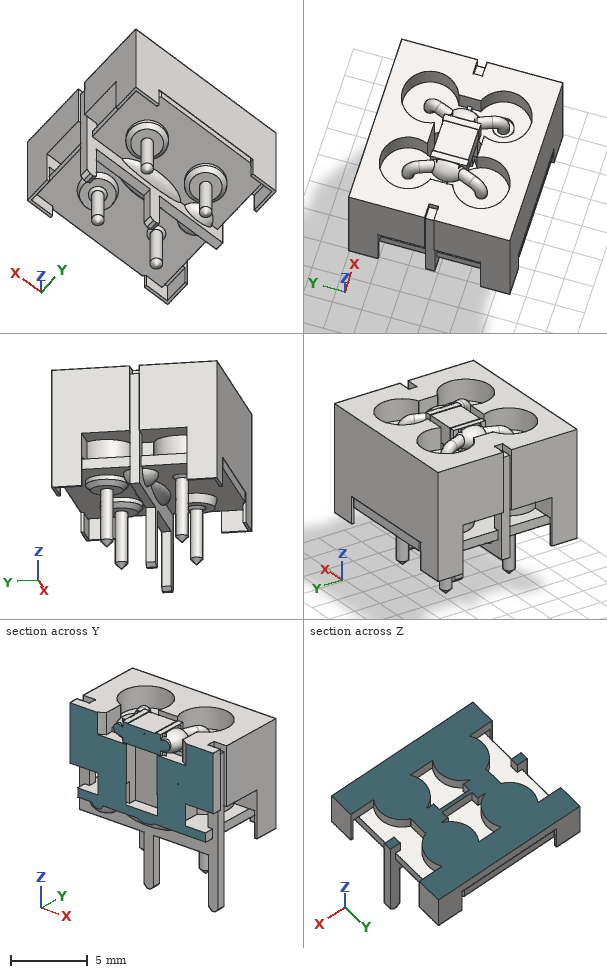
import cadquery as cq
import math

HOUSING_X, HOUSING_Y, HOUSING_Z = 12.0, 11.0, 8.0
SKIRT_WALL = 0.2
POCKET_TOP = 2.0

WINDOW_X = 8.0
WINDOW_Y = 7.0
TALL_WINDOW_TOP = 3.57

PIN_PITCH = 5.0
PIN_RADIUS = 0.415
PIN_TIP_Z = -3.2
WELL_RADIUS = 1.875
WELL_FLOOR = 6.4
NECK_X, NECK_Y = 6.4, 1.5
BAY_X, BAY_Y = 2.5, 3.4

PLATE_X, PLATE_THICKNESS = 10.7, 0.7
TAB_TIP_X = 7.6
TAB_RECESS = 0.02

BLADE_THICKNESS = 0.64
BLADE_X = 11.6
BLADE_LEG_WIDTH = 0.85
BLADE_TOP = 7.5
BLADE_PRONGS = ((0.0, 0.8), (5.4, 0.8))
PRONG_TIP_Z, PRONG_CHAMFER = -4.0, 0.27

CHIP_X, CHIP_Y = 3.2, 2.5
CHIP_CAP = 0.45
CAP_STEP = 0.05
CHIP_GAP = 0.05
SEPTUM_THICKNESS, SEPTUM_RISE = 0.3, 0.3

WIRE_RADIUS = 0.4
WIRE_AXIS_Z = 7.3
WIRE_BEND = 0.72
WIRE_RUN_X, WIRE_RUN_Y = 1.7, 0.4
RECESS_RADIUS, RECESS_DEPTH = 0.7, 0.2

FLANGE_RADIUS, FLANGE_RIM, FLANGE_TAPER = 1.4, 0.3, 0.33
BEAD_TOP_RADIUS, BEAD_RADIUS, BEAD_DROP = 1.35, 1.2, 0.6
COLLAR_RADIUS, COLLAR_HEIGHT = 0.62, 0.18
MIDDLE_LUMP_X, MIDDLE_LUMP_RADII = 0.3, (2.6, 1.1, 0.65)
END_LUMP_X, END_LUMP_RADII = -3.7, (1.2, 1.15, 0.88)
CHIP_SOLDER_RADII, CHIP_SOLDER_Z = (1.07, 1.25, 0.75), 7.2

PIN_OFFSET = PIN_PITCH / 2
PLATE_BOTTOM = POCKET_TOP - PLATE_THICKNESS
POCKET_X = HOUSING_X - 2 * SKIRT_WALL
POCKET_Y = HOUSING_Y - 2 * SKIRT_WALL
PIN_POINTS = [(sx * PIN_OFFSET, sy * PIN_OFFSET) for sx in (-1, 1) for sy in (-1, 1)]


def block(x_range, y_range, z_range):
    """Axis-aligned box given by its limits."""
    sizes = [limits[1] - limits[0] for limits in (x_range, y_range, z_range)]
    corner = (x_range[0], y_range[0], z_range[0])
    return cq.Workplane("XY").box(*sizes, centered=False).translate(corner)


def centred_block(size_x, size_y, z_low, z_high):
    """Box centred on the Z axis between two heights."""
    return block((-size_x / 2, size_x / 2), (-size_y / 2, size_y / 2), (z_low, z_high))


def turned(profile, x, y):
    """Solid of revolution about a vertical axis, from (radius, z) points."""
    return cq.Workplane("XZ").polyline(profile).close().revolve(360, (0, 0), (0, 1)).translate((x, y, 0))


def ellipsoid(radii, centre):
    """Ellipsoid with its axes along X, Y and Z."""
    rows = [[radii[i] if i == j else 0.0 for j in range(3)] + [centre[i]] for i in range(3)]
    unit_ball = cq.Workplane("XY").sphere(1.0).val()
    return cq.Workplane(unit_ball.transformGeometry(cq.Matrix(rows)))


def round_wells(z_low, z_high):
    """The four round wells alone."""
    wells = cq.Workplane("XY").workplane(offset=z_low).pushPoints(PIN_POINTS)
    return wells.circle(WELL_RADIUS).extrude(z_high - z_low)


def well_cluster(z_low, z_high):
    """Solid in the shape of four round wells joined by the end necks and the centre bay."""
    cluster = centred_block(NECK_X, NECK_Y, z_low, z_high)
    cluster = cluster.union(centred_block(BAY_X, BAY_Y, z_low, z_high))
    return cluster.union(round_wells(z_low, z_high))


def make_housing():
    housing = centred_block(HOUSING_X, HOUSING_Y, 0, HOUSING_Z)
    housing = housing.cut(centred_block(POCKET_X, POCKET_Y, 0, POCKET_TOP))
    housing = housing.cut(centred_block(WINDOW_X, HOUSING_Y, 0, POCKET_TOP))
    housing = housing.cut(centred_block(HOUSING_X, WINDOW_Y, 0, TALL_WINDOW_TOP))
    housing = housing.union(well_cluster(POCKET_TOP, TALL_WINDOW_TOP))
    housing = housing.cut(well_cluster(WELL_FLOOR, HOUSING_Z))
    open_bay = centred_block(BAY_X, BAY_Y, POCKET_TOP, WELL_FLOOR)
    housing = housing.cut(open_bay.cut(round_wells(POCKET_TOP, WELL_FLOOR)))
    slot_end = BLADE_X / 2 - BLADE_LEG_WIDTH
    half = BLADE_THICKNESS / 2
    for x_range in ((-HOUSING_X / 2, -slot_end), (slot_end, HOUSING_X / 2)):
        housing = housing.cut(block(x_range, (-half, half), (0, HOUSING_Z)))
    recess = cq.Workplane("XY").workplane(offset=WELL_FLOOR).center(PIN_OFFSET, -PIN_OFFSET)
    return housing.cut(recess.circle(RECESS_RADIUS).extrude(-RECESS_DEPTH))


def make_plate():
    """Base plate with a tapered tab filling the front and back windows."""
    body = centred_block(PLATE_X, POCKET_Y, PLATE_BOTTOM, POCKET_TOP)
    tab_root, tab_tip, tip_y = WINDOW_X / 2, TAB_TIP_X / 2, HOUSING_Y / 2 - TAB_RECESS
    root_y = POCKET_Y / 2
    outline = [
        (-tab_root, -root_y), (-tab_tip, -tip_y), (tab_tip, -tip_y), (tab_root, -root_y),
        (tab_root, root_y), (tab_tip, tip_y), (-tab_tip, tip_y), (-tab_root, root_y),
    ]
    tabs = cq.Workplane("XY").workplane(offset=PLATE_BOTTOM).polyline(outline).close()
    return body.union(tabs.extrude(PLATE_THICKNESS))


def make_blade():
    """Flat shield: crossbar, two upright legs and pointed prongs."""
    half = BLADE_THICKNESS / 2
    blade = centred_block(BLADE_X, BLADE_THICKNESS, 0, PLATE_BOTTOM)
    outer, inner = BLADE_X / 2, BLADE_X / 2 - BLADE_LEG_WIDTH
    for x_range in ((-outer, -inner), (inner, outer)):
        blade = blade.union(block(x_range, (-half, half), (0, BLADE_TOP)))
    for centre, width in BLADE_PRONGS:
        prong = block((centre - width / 2, centre + width / 2), (-half, half), (PRONG_TIP_Z, PLATE_BOTTOM))
        blade = blade.union(prong.faces("<Z").edges("|Y").chamfer(PRONG_CHAMFER))
    return blade


def make_pin(x, y):
    """Round pin with a conical point, rooted in the base plate."""
    shoulder = PIN_TIP_Z + PIN_RADIUS
    return turned([(0, PIN_TIP_Z), (PIN_RADIUS, shoulder), (PIN_RADIUS, POCKET_TOP), (0, POCKET_TOP)], x, y)


def make_collar(x, y, top):
    """Small solder cone around a pin."""
    bottom = top - COLLAR_HEIGHT
    return turned([(0, bottom), (PIN_RADIUS, bottom), (COLLAR_RADIUS, top), (0, top)], x, y)


def make_flange(x, y):
    """Solder pad under the plate: a disc with a 45 degree lower edge."""
    rim_z = PLATE_BOTTOM - FLANGE_RIM
    bottom = rim_z - FLANGE_TAPER
    foot_radius = FLANGE_RADIUS - FLANGE_TAPER
    profile = [
        (0, bottom), (foot_radius, bottom), (FLANGE_RADIUS, rim_z),
        (FLANGE_RADIUS, PLATE_BOTTOM), (0, PLATE_BOTTOM),
    ]
    return turned(profile, x, y)


def make_bead(x, y):
    """Tapered solder bead under the plate."""
    bottom = PLATE_BOTTOM - BEAD_DROP
    return turned([(0, bottom), (BEAD_RADIUS, bottom), (BEAD_TOP_RADIUS, PLATE_BOTTOM), (0, PLATE_BOTTOM)], x, y)


def make_wire(sign_x, sign_y):
    """Wire rising from a well floor and bending over towards the chip."""
    start_x, start_y = sign_x * PIN_OFFSET, sign_y * PIN_OFFSET
    run_x, run_y = sign_x * WIRE_RUN_X - start_x, sign_y * WIRE_RUN_Y - start_y
    run = math.hypot(run_x, run_y)
    root_z = WELL_FLOOR - 2 * RECESS_DEPTH
    plane = cq.Plane(origin=(start_x, start_y, 0), xDir=(run_x, run_y, 0), normal=(run_y, -run_x, 0))
    bend_z = WIRE_AXIS_Z - WIRE_BEND
    middle = WIRE_BEND * math.sqrt(0.5)
    path = (
        cq.Workplane(plane)
        .moveTo(0, root_z)
        .lineTo(0, bend_z)
        .threePointArc((WIRE_BEND - middle, bend_z + middle), (WIRE_BEND, WIRE_AXIS_Z))
        .lineTo(run, WIRE_AXIS_Z)
    )
    section = cq.Workplane("XY").workplane(offset=root_z).center(start_x, start_y).circle(WIRE_RADIUS)
    return section.sweep(path)


def make_chip():
    """Chip with two proud end caps."""
    bottom = WELL_FLOOR + CHIP_GAP
    chip = centred_block(CHIP_X, CHIP_Y - 2 * CAP_STEP, bottom, HOUSING_Z - CAP_STEP)
    outer, inner = CHIP_X / 2, CHIP_X / 2 - CHIP_CAP
    for x_range in ((-outer, -inner), (inner, outer)):
        chip = chip.union(block(x_range, (-CHIP_Y / 2, CHIP_Y / 2), (bottom, HOUSING_Z)))
    return chip


def make_septum():
    """Thin upright wall that rises from the base plate through the bay and carries the chip."""
    return centred_block(NECK_X, SEPTUM_THICKNESS, POCKET_TOP, WELL_FLOOR + SEPTUM_RISE)


def make_chip_solder(sign_x):
    """Solder fillet on one end of the chip, where two wires meet."""
    return ellipsoid(CHIP_SOLDER_RADII, (sign_x * CHIP_X / 2, 0, CHIP_SOLDER_Z)).cut(
        centred_block(CHIP_X, HOUSING_Y, WELL_FLOOR, HOUSING_Z)
    )


def make_underside_lumps():
    """Rounded solder lumps hanging from the plate around the blade."""
    lumps = ellipsoid(MIDDLE_LUMP_RADII, (MIDDLE_LUMP_X, 0, PLATE_BOTTOM))
    lumps = lumps.union(ellipsoid(END_LUMP_RADII, (END_LUMP_X, 0, PLATE_BOTTOM)))
    return lumps.cut(centred_block(HOUSING_X, HOUSING_Y, PLATE_BOTTOM, HOUSING_Z))


def assemble():
    part = make_housing().union(make_plate()).union(make_blade())
    for x, y in PIN_POINTS:
        part = part.union(make_pin(x, y))
    for x in (-PIN_OFFSET, PIN_OFFSET):
        part = part.union(make_flange(x, PIN_OFFSET))
    part = part.union(make_collar(-PIN_OFFSET, -PIN_OFFSET, PLATE_BOTTOM))
    part = part.union(make_bead(PIN_OFFSET, -PIN_OFFSET))
    part = part.union(make_collar(PIN_OFFSET, -PIN_OFFSET, PLATE_BOTTOM - BEAD_DROP))
    part = part.union(make_underside_lumps())
    part = part.union(make_septum()).union(make_chip())
    for sign_x in (-1, 1):
        part = part.union(make_chip_solder(sign_x))
        for sign_y in (-1, 1):
            part = part.union(make_wire(sign_x, sign_y))
    return part


result = assemble()